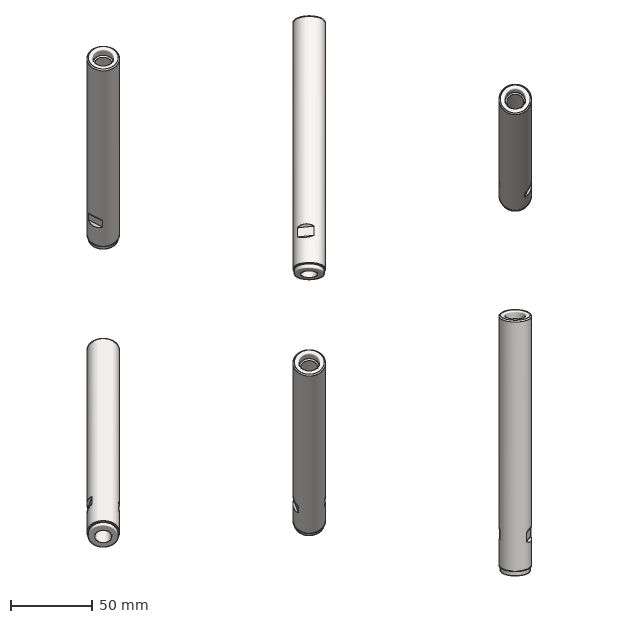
import cadquery as cq

import math

length = 168.5
body_diameter = 20.0
top_chamfer = 0.8

spigot_diameter = 18.7
spigot_length = 3.5
spigot_end_fillet = 0.7

relief_diameter = 18.0
relief_width = 0.5

bore_diameter = 10.5
counterbore_diameter = 12.5
counterbore_depth = 4.9
counterbore_floor_drop = 0.7
counterbore_rim_fillet = 1.0

across_flats = 17.0
flat_bottom = 21.9
flat_top = 28.0

ARC_INSET = 1 - math.sqrt(0.5)


def revolve_about_z(profile):
    """Close a half section and turn it once around the Z axis."""
    return profile.close().revolve(360, (0, 0), (0, 1))


def make_body():
    """Stepped outside of the tube."""
    body_radius = body_diameter / 2
    spigot_radius = spigot_diameter / 2
    end_inset = spigot_end_fillet * ARC_INSET
    relief_radius = relief_diameter / 2
    relief_bottom = spigot_length - relief_width
    profile = (
        cq.Workplane("XZ")
        .lineTo(spigot_radius - spigot_end_fillet, 0)
        .threePointArc((spigot_radius - end_inset, end_inset), (spigot_radius, spigot_end_fillet))
        .lineTo(spigot_radius, relief_bottom)
        .lineTo(relief_radius, relief_bottom)
        .lineTo(relief_radius, spigot_length)
        .lineTo(body_radius, spigot_length)
        .lineTo(body_radius, length - top_chamfer)
        .lineTo(body_radius - top_chamfer, length)
        .lineTo(0, length)
    )
    return revolve_about_z(profile)


def make_bore():
    """Through bore with a counterbore that has a conical floor and a rounded rim."""
    bore_radius = bore_diameter / 2
    counterbore_radius = counterbore_diameter / 2
    counterbore_floor = length - counterbore_depth
    rim_inset = counterbore_rim_fillet * ARC_INSET
    profile = (
        cq.Workplane("XZ")
        .lineTo(bore_radius, 0)
        .lineTo(bore_radius, counterbore_floor - counterbore_floor_drop)
        .lineTo(counterbore_radius, counterbore_floor)
        .lineTo(counterbore_radius, length - counterbore_rim_fillet)
        .threePointArc(
            (counterbore_radius + rim_inset, length - rim_inset),
            (counterbore_radius + counterbore_rim_fillet, length),
        )
        .lineTo(0, length)
    )
    return revolve_about_z(profile)


def make_flat_cutter(side):
    """Trapezoidal cutter for the flat on the +Y (side=1) or -Y (side=-1) face."""
    flat_y = across_flats / 2
    outer_y = body_diameter / 2
    wall_run = outer_y - flat_y
    profile = [
        (side * flat_y, flat_bottom),
        (side * outer_y, flat_bottom - wall_run),
        (side * outer_y, flat_top + wall_run),
        (side * flat_y, flat_top),
    ]
    return cq.Workplane("YZ").polyline(profile).close().extrude(body_diameter / 2, both=True)


result = make_body().cut(make_bore())
for side in (-1, 1):
    result = result.cut(make_flat_cutter(side))